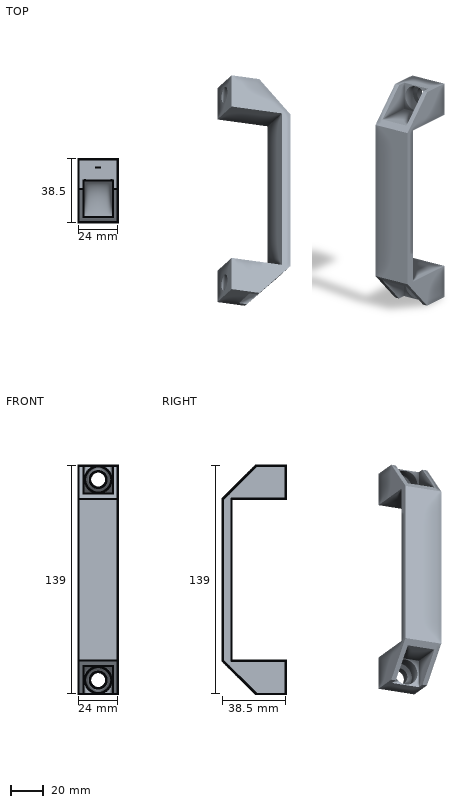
import cadquery as cq

width = 24.0
depth = 38.5
length = 139.0

foot_height = 20.3
foot_top_depth = 18.1
grip_thickness = 5.5

wall = 3.0
pocket_width = width - 2 * wall
pocket_height = 17.1
pocket_floor = 12.9
hole_diameter = 9.9
counterbore_diameter = 16.0
counterbore_floor = 5.0
hole_inset = 8.5

back = depth / 2
front = -depth / 2
end = length / 2
foot_inner = end - foot_height


def handle_body():
    """Bridge-shaped profile with sloped outer corners, extruded across the width."""
    slope_start = back - foot_top_depth
    grip_back = front + grip_thickness
    outline = [
        (back, end),
        (slope_start, end),
        (front, foot_inner),
        (front, -foot_inner),
        (slope_start, -end),
        (back, -end),
        (back, -foot_inner),
        (grip_back, -foot_inner),
        (grip_back, foot_inner),
        (back, foot_inner),
    ]
    return cq.Workplane("YZ").polyline(outline).close().extrude(width / 2, both=True)


def bore(diameter, y_start, axis_z):
    """Cylinder along Y from y_start toward -Y, out past the sloped face."""
    plane = cq.Workplane("XZ", origin=(0, y_start, axis_z))
    return plane.circle(diameter / 2).extrude(depth)


def screw_recess(side):
    """Open pocket, counterbore and through hole for the foot at +Z (side=1) or -Z (side=-1)."""
    pocket_center = (0, back - pocket_floor, side * (end - pocket_height / 2))
    pocket = cq.Workplane("XZ", origin=pocket_center).rect(pocket_width, pocket_height).extrude(depth)
    axis_z = side * (end - hole_inset)
    counterbore = bore(counterbore_diameter, back - counterbore_floor, axis_z)
    hole = bore(hole_diameter, back, axis_z)
    return pocket.union(counterbore).union(hole)


result = handle_body()
for side in (1, -1):
    result = result.cut(screw_recess(side))